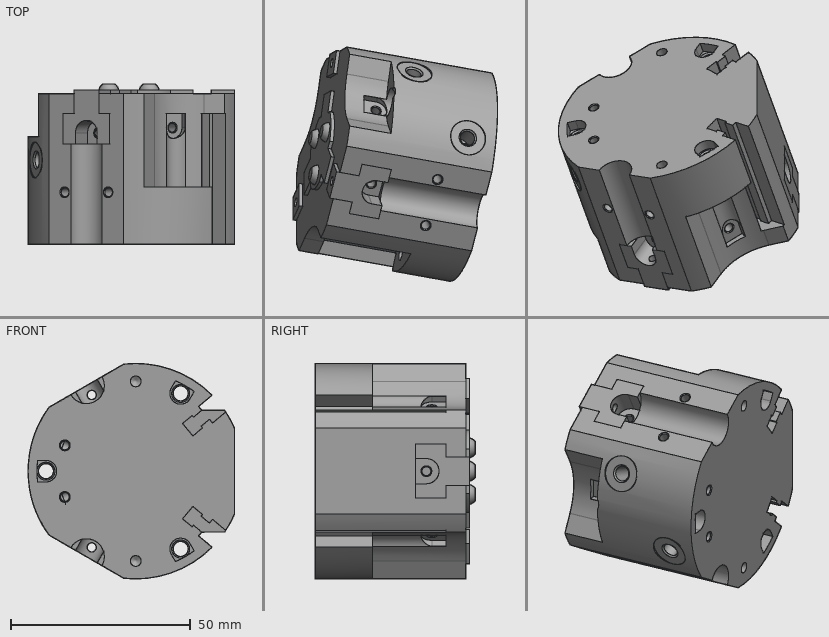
import cadquery as cq
import math


body_radius = 30.0
flat_distance = 27.5
cover_seat_y = 36.5
cover_top_y = 42.0
jaw_top_y = 43.0
jaw_angles = (0, 120, 240)
clearance = 5.0

foot_width = 15.0
foot_inner = 16.0
foot_bottom_y = 28.0
neck_width = 8.0
neck_inner = 21.0
recess_radius = 3.5
recess_center_y = 31.0
recess_floor = 20.8
jaw_axial_hole_diameter = 2.5
jaw_axial_hole_distance = 24.5
jaw_screw_depth = 4.0

channel_radius = 5.0
channel_angles = (120, 240)
side_screw_spacing = 14.0
side_screw_y = 14.5
side_screw_depth = 6.0

groove_radius = 16.0
groove_side_distance = 17.0
groove_side_angle = 60.0
groove_start_y = {180: 30.0, 60: 16.0, 300: 16.0}

mount_distance = 25.0
mount_diameter = 4.13
mount_mouth_diameter = 5.0
head_bore_diameter = 8.0
head_bore_y = 16.0
seat_width = 6.0
seat_outer_radius = 27.5
seat_depth = 3.0
pocket_width = 6.0
pocket_center_y = 32.5
pocket_floor = 20.5

thread_core = 2.46
thread_mouth = 3.0
pocket_thread_depth = 6.0

port_y = {160: 23.5, 200: 8.0}
port_seat_diameter = 10.0
port_seat_distance = 29.5
port_core = 4.13
port_mouth = 5.0
port_step = 21.5
port_drill_diameter = 2.5
port_end = 19.0
air_hole_distance = 21.0

dowel_diameter = 3.0
dowel_distance = 25.0
dowel_angles = (90, 270)
dowel_depth = 6.0
drill_tip_angle = 118.0

sensor_angle = 40.0
sensor_offset = -0.47
sensor_steps = ((18.5, 22.0, 4.5), (22.0, 25.0, 3.3), (25.0, body_radius + clearance, 6.0))

cap_radius = 11.5
cap_flat = 9.7
cap_arm_end = 16.0
screw_distance = 7.5
screw_angles = (60, 180, 300)
screw_head_radius = 2.8
screw_top_radius = 1.7
screw_top_y = 44.65


def turned(shape, angle):
    """Turn about the gripper axis, from +X toward +Z."""
    return shape.rotate((0, 0, 0), (0, 1, 0), -angle)


def prism(outline, y_start, y_end):
    """Extrude an XZ outline from y_start to y_end."""
    return outline.extrude(y_start - y_end).translate((0, y_start, 0))


def disc(radius, y_start, y_end, x=0.0):
    return prism(cq.Workplane("XZ").center(x, 0).circle(radius), y_start, y_end)


def bar(x_start, x_end, width, y_start, y_end, z=0.0):
    size = (x_end - x_start, y_end - y_start, width)
    return cq.Workplane("XY").box(*size, centered=(False, False, True)).translate((x_start, y_start, z))


def mouthed_hole(start, direction, core, mouth, depth):
    """Cutter for a blind hole with a 45 degree chamfer at its mouth."""
    origin = cq.Vector(*start)
    axis = cq.Vector(*direction)
    bore = cq.Solid.makeCylinder(core / 2, depth, origin, axis)
    chamfer = cq.Solid.makeCone(mouth / 2, core / 2, (mouth - core) / 2, origin, axis)
    return cq.Workplane(bore.fuse(chamfer))


def jaw_block():
    """T-shaped jaw without its recess, also the room it takes in the housing."""
    foot = bar(foot_inner, flat_distance, foot_width, foot_bottom_y, cover_seat_y)
    neck = bar(neck_inner, flat_distance, neck_width, cover_seat_y, jaw_top_y)
    return foot.union(neck)


def jaw(angle):
    straight = bar(recess_floor, flat_distance, 2 * recess_radius, foot_bottom_y, recess_center_y)
    arch = (cq.Workplane("YZ", origin=(recess_floor, recess_center_y, 0))
            .circle(recess_radius).extrude(flat_distance - recess_floor))
    axial_hole = disc(jaw_axial_hole_diameter / 2, recess_center_y, jaw_top_y, jaw_axial_hole_distance)
    screw_hole = mouthed_hole((recess_floor, recess_center_y, 0), (-1, 0, 0),
                              thread_core, thread_mouth, jaw_screw_depth)
    body = jaw_block().cut(straight).cut(arch).cut(axial_hole).cut(screw_hole)
    return turned(body, angle)


def blank():
    """Round body and cover with three flats."""
    body = disc(body_radius, 0, cover_top_y)
    for angle in jaw_angles:
        outside = bar(flat_distance, body_radius + clearance, 2 * body_radius, 0, cover_top_y)
        body = body.cut(turned(outside, angle))
    return body


def jaw_channel():
    channel = disc(channel_radius, 0, foot_bottom_y, flat_distance)
    for side in (-1, 1):
        start = (flat_distance, side_screw_y, side * side_screw_spacing / 2)
        channel = channel.union(mouthed_hole(start, (-1, 0, 0), thread_core, thread_mouth, side_screw_depth))
    return channel


def rim_groove(y_start):
    """Concave arc with two straight sides tangent to it."""
    slope = math.radians(groove_side_angle)
    arc_center = (groove_side_distance + groove_radius) / math.sin(slope)
    tangent_x = arc_center - groove_radius * math.sin(slope)
    tangent_z = groove_radius * math.cos(slope)
    outer_x = body_radius + clearance
    outer_z = tangent_z + (outer_x - tangent_x) * math.tan(slope)
    outline = (cq.Workplane("XZ").moveTo(outer_x, -outer_z).lineTo(tangent_x, -tangent_z)
               .threePointArc((arc_center - groove_radius, 0), (tangent_x, tangent_z))
               .lineTo(outer_x, outer_z).close())
    return prism(outline, y_start, cover_top_y)


def mount_hole():
    """Front seat, through hole and screw-head bore that opens into the groove."""
    seat = disc(seat_width / 2, 0, seat_depth, mount_distance)
    seat = seat.union(bar(mount_distance, body_radius, seat_width, 0, seat_depth))
    seat = seat.intersect(disc(seat_outer_radius, 0, seat_depth))
    through = mouthed_hole((mount_distance, seat_depth, 0), (0, 1, 0), mount_diameter,
                           mount_mouth_diameter, cover_seat_y - seat_depth)
    head_bore = disc(head_bore_diameter / 2, head_bore_y, cover_seat_y, mount_distance)
    return seat.union(through).union(head_bore)


def groove_pocket():
    """Round-bottomed pocket in the groove, with a threaded hole in its floor."""
    outer = body_radius + clearance
    round_end = (cq.Workplane("YZ", origin=(pocket_floor, pocket_center_y, 0))
                 .circle(pocket_width / 2).extrude(outer - pocket_floor))
    straight = bar(pocket_floor, outer, pocket_width, pocket_center_y, cover_seat_y)
    thread = mouthed_hole((pocket_floor, pocket_center_y, 0), (-1, 0, 0),
                          thread_core, thread_mouth, pocket_thread_depth)
    return round_end.union(straight).union(thread)


def air_port(y):
    """Side port and the axial hole that leads to it from the mounting face."""
    seat = (cq.Workplane("YZ", origin=(port_seat_distance, y, 0))
            .circle(port_seat_diameter / 2).extrude(clearance))
    bore = mouthed_hole((port_seat_distance, y, 0), (-1, 0, 0), port_core, port_mouth,
                        port_seat_distance - port_step)
    drill = (cq.Workplane("YZ", origin=(port_end, y, 0))
             .circle(port_drill_diameter / 2).extrude(port_step - port_end))
    axial = mouthed_hole((air_hole_distance, 0, 0), (0, 1, 0), thread_core, thread_mouth, y)
    return seat.union(bore).union(drill).union(axial)


def dowel_hole():
    """Blind hole with a drill tip."""
    radius = dowel_diameter / 2
    tip = radius / math.tan(math.radians(drill_tip_angle / 2))
    corners = [(0, 0), (radius, 0), (radius, dowel_depth), (0, dowel_depth + tip)]
    profile = cq.Workplane("XY").polyline(corners).close()
    return profile.revolve(360, (0, 0), (0, 1)).translate((dowel_distance, 0, 0))


def sensor_slot():
    slot = cq.Workplane()
    for inner, outer, width in sensor_steps:
        slot = slot.union(bar(inner, outer, width, 0, cover_seat_y, sensor_offset))
    return turned(slot, sensor_angle)


def center_cap():
    """Flat cap: a disc cut flat toward each jaw, with an arm in front of it."""
    cap = disc(cap_radius, cover_top_y, jaw_top_y)
    for angle in jaw_angles:
        outside = bar(cap_flat, cap_radius + clearance, 2 * cap_radius, cover_top_y, jaw_top_y)
        cap = cap.cut(turned(outside, angle))
    for angle in jaw_angles:
        cap = cap.union(turned(bar(0, cap_arm_end, neck_width, cover_top_y, jaw_top_y), angle))
    return cap


def screw_head():
    """Spherical button head with a flat top."""
    height = screw_top_y - jaw_top_y
    center = (screw_head_radius ** 2 - screw_top_radius ** 2 - height ** 2) / (2 * height)
    sphere_radius = math.hypot(screw_head_radius, center)
    middle_y = height / 2
    middle_x = math.sqrt(sphere_radius ** 2 - (middle_y + center) ** 2)
    profile = (cq.Workplane("XY").lineTo(screw_head_radius, 0)
               .threePointArc((middle_x, middle_y), (screw_top_radius, height))
               .lineTo(0, height).close())
    return profile.revolve(360, (0, 0), (0, 1)).translate((screw_distance, jaw_top_y, 0))


housing = blank()
for angle, y in groove_start_y.items():
    for cutter in (mount_hole(), groove_pocket(), rim_groove(y)):
        housing = housing.cut(turned(cutter, angle))
for angle in channel_angles:
    housing = housing.cut(turned(jaw_channel(), angle))
for angle, y in port_y.items():
    housing = housing.cut(turned(air_port(y), angle))
for angle in dowel_angles:
    housing = housing.cut(turned(dowel_hole(), angle))
housing = housing.cut(sensor_slot()).cut(sensor_slot().mirror("XY"))
housing = housing.union(center_cap())
for angle in screw_angles:
    housing = housing.union(turned(screw_head(), angle))
for angle in jaw_angles:
    housing = housing.cut(turned(jaw_block(), angle))

jaws = [jaw(angle) for angle in jaw_angles]
result = cq.Compound.makeCompound([housing.val(), *[piece.val() for piece in jaws]])